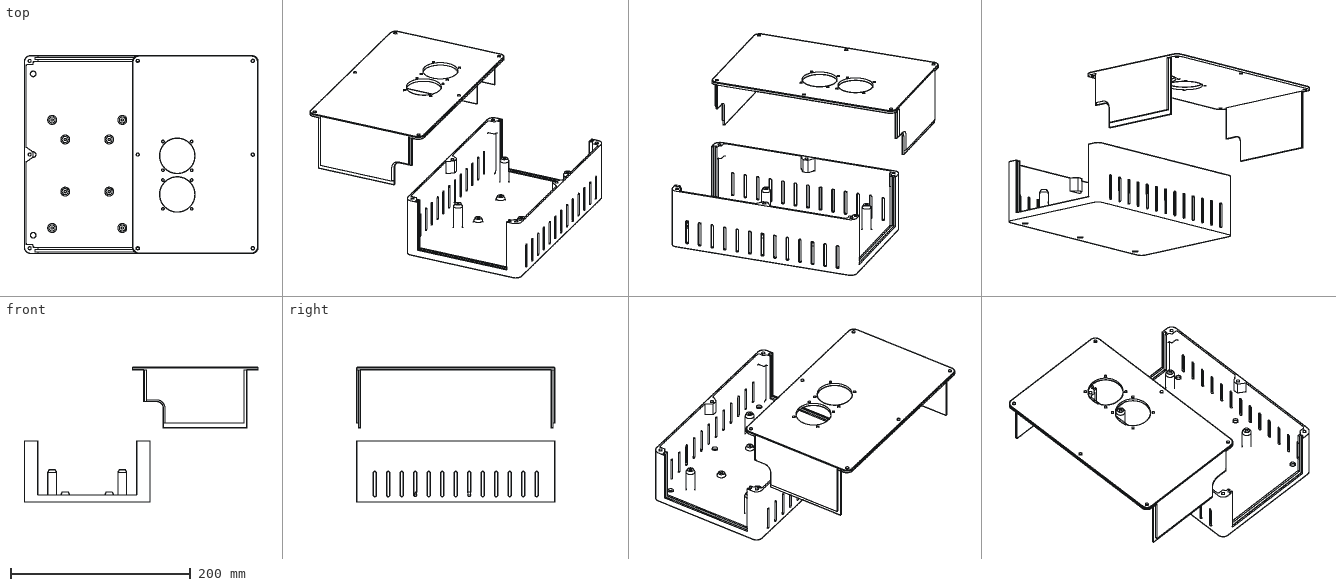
import cadquery as cq
TOTAL_X = 260.0
TOTAL_Z = 150.0
LENGTH_Y = 220.2
WIDTH_X = 140.0
CORNER_RADIUS = 7.3
LID_OFFSET_X = TOTAL_X - WIDTH_X

HOUSING_HEIGHT = 68.0
WALL = 2.0
FLOOR = 3.0
FLOOR_FILLET = 3.0

OPENING_INSET_X = 15.0
OPENING_SILL = 8.0
GROOVE_WIDTH = 2.5
GROOVE_INSET_X = 12.0
FRAME_INSET_X = 10.0
FRAME_DEPTH = WALL + GROOVE_WIDTH + WALL

SLOT_COUNT = 13
SLOT_SPAN = 180.0
SLOT_WIDTH = 3.0
SLOT_BOTTOM = 6.0
SLOT_TOP = 34.0

SCREW_INSET = 6.0
SCREW_DIAMETER = 3.5
SCREW_DEPTH = 12.0
BOSS_HEIGHT = 15.0
BOSS_SIZE = 10.0
BOSS_NOSE_RADIUS = 1.0
BOSS_BLEND = 2.0
MID_BOSS_ROOT_WIDTH = 16.6
MID_BOSS_NOSE_WIDTH = 6.0
MID_BOSS_NOSE_BOW = 0.3

FLOOR_HOLE_DIAMETER = 6.0
FLOOR_HOLE_INSET_X = 10.0
FLOOR_HOLE_SPAN_Y = 179.5

POST_RADIUS = 5.0
POST_FILLET = 5.0
TIP_RADIUS = 3.5
TIP_HEIGHT = 3.0
POST_HOLE_DIAMETER = 2.5
SHORT_POST_TOP = FLOOR + POST_FILLET
SHORT_POST_SPACING_X = 49.0
SHORT_POST_SPACING_Y = 58.0
SHORT_POST_CENTRE_Y = -12.2
TALL_POST_TOP = 33.0
TALL_POST_SPACING_X = 78.0
TALL_POST_SPACING_Y = 120.0
TALL_POST_CENTRE_Y = -21.5

LID_THICKNESS = 3.0
LID_CHAMFER = 0.8
SENSOR_X = 50.0
SENSOR_CENTRE_Y = -23.0
SENSOR_SPACING_Y = 43.0
SENSOR_DIAMETER = 39.0
SENSOR_SCREW_SPACING = 32.0
SENSOR_SCREW_DIAMETER = 2.5

CLEARANCE = 0.5
TONGUE_THICKNESS = 2.0
TONGUE_CHAMFER = 1.0
TONGUE_DEPTH = 64.5
SKIN_DEPTH = 59.3
NOTCH_RADIUS = 7.3
NOTCH_EDGE_X = 34.3
NOTCH_TOP = -38.5


def box(x_min, x_max, y_min, y_max, z_min, z_max):
    """Axis-aligned box between the given limits."""
    return (
        cq.Workplane("XY")
        .box(x_max - x_min, y_max - y_min, z_max - z_min, centered=False)
        .translate((x_min, y_min, z_min))
    )


def rounded_plate(x_size, y_size, height, radius):
    """Upright rounded block centred on the housing axis, standing on Z = 0."""
    return (
        cq.Workplane("XY")
        .center(WIDTH_X / 2, 0)
        .rect(x_size, y_size)
        .extrude(height)
        .edges("|Z")
        .fillet(radius)
    )


def grid(x_spacing, y_spacing, x_centre, y_centre):
    """Corner points of a rectangle."""
    return [
        (x_centre + sx * x_spacing / 2, y_centre + sy * y_spacing / 2)
        for sx in (-1, 1)
        for sy in (-1, 1)
    ]


def wall_points(x, span_y):
    """Three points along a long wall: both ends and the middle."""
    return [(x, y) for y in (-span_y / 2, 0, span_y / 2)]


def mirrored_x(body):
    """The body together with its mirror image in the middle plane of the housing width."""
    return body.union(body.mirror("YZ", (WIDTH_X / 2, 0, 0)))


def mirrored_xy(body):
    """The body repeated at all four corners of the housing."""
    return mirrored_x(body.union(body.mirror("XZ")))


SCREW_SPAN_Y = LENGTH_Y - 2 * SCREW_INSET
SCREW_POINTS = wall_points(SCREW_INSET, SCREW_SPAN_Y) + wall_points(WIDTH_X - SCREW_INSET, SCREW_SPAN_Y)


def shell():
    """Rounded tray of even wall thickness with a filleted floor."""
    outer = rounded_plate(WIDTH_X, LENGTH_Y, HOUSING_HEIGHT, CORNER_RADIUS)
    cavity = (
        rounded_plate(
            WIDTH_X - 2 * WALL, LENGTH_Y - 2 * WALL, HOUSING_HEIGHT, CORNER_RADIUS - WALL
        )
        .faces("<Z")
        .edges()
        .fillet(FLOOR_FILLET)
        .translate((0, 0, FLOOR))
    )
    return outer.cut(cavity)


def end_frames():
    """Full-height bars across the two ends, each with a concave fillet along its foot."""
    bow = FLOOR_FILLET * (1 - 0.5 ** 0.5)
    frame = (
        cq.Workplane("YZ")
        .lineTo(FRAME_DEPTH + FLOOR_FILLET, 0)
        .lineTo(FRAME_DEPTH + FLOOR_FILLET, FLOOR)
        .threePointArc((FRAME_DEPTH + bow, FLOOR + bow), (FRAME_DEPTH, FLOOR + FLOOR_FILLET))
        .lineTo(FRAME_DEPTH, HOUSING_HEIGHT)
        .lineTo(0, HOUSING_HEIGHT)
        .close()
        .extrude(WIDTH_X - 2 * FRAME_INSET_X)
        .translate((FRAME_INSET_X, -LENGTH_Y / 2, 0))
    )
    return frame.union(frame.mirror("XZ"))


def end_openings():
    """Openings through both ends, with the wider groove that takes the lid tongues."""
    half = LENGTH_Y / 2
    opening = box(
        OPENING_INSET_X, WIDTH_X - OPENING_INSET_X, -half, half, OPENING_SILL, HOUSING_HEIGHT
    )
    groove_start = -half + WALL
    groove = box(
        GROOVE_INSET_X, WIDTH_X - GROOVE_INSET_X,
        groove_start, groove_start + GROOVE_WIDTH,
        FLOOR, HOUSING_HEIGHT,
    )
    return opening.union(groove).union(groove.mirror("XZ"))


def vent_slots():
    pitch = SLOT_SPAN / (SLOT_COUNT - 1)
    centres = [((i - (SLOT_COUNT - 1) / 2) * pitch, (SLOT_TOP + SLOT_BOTTOM) / 2) for i in range(SLOT_COUNT)]
    return (
        cq.Workplane("YZ")
        .pushPoints(centres)
        .slot2D(SLOT_TOP - SLOT_BOTTOM, SLOT_WIDTH, 90)
        .extrude(WIDTH_X)
    )


def corner_bosses():
    """Bosses hanging from the rim in the four corners, blended into the wall and the end frame."""
    blend_bow = BOSS_BLEND * (1 - 0.5 ** 0.5)
    nose_bow = BOSS_NOSE_RADIUS * (1 - 0.5 ** 0.5)
    boss = (
        cq.Workplane("XY")
        .workplane(offset=HOUSING_HEIGHT - BOSS_HEIGHT)
        .lineTo(BOSS_SIZE + BOSS_BLEND, 0)
        .lineTo(BOSS_SIZE + BOSS_BLEND, FRAME_DEPTH)
        .threePointArc(
            (BOSS_SIZE + blend_bow, FRAME_DEPTH + blend_bow),
            (BOSS_SIZE, FRAME_DEPTH + BOSS_BLEND),
        )
        .lineTo(BOSS_SIZE, BOSS_SIZE - BOSS_NOSE_RADIUS)
        .threePointArc(
            (BOSS_SIZE - nose_bow, BOSS_SIZE - nose_bow),
            (BOSS_SIZE - BOSS_NOSE_RADIUS, BOSS_SIZE),
        )
        .lineTo(WALL + BOSS_BLEND, BOSS_SIZE)
        .threePointArc(
            (WALL + blend_bow, BOSS_SIZE + blend_bow),
            (WALL, BOSS_SIZE + BOSS_BLEND),
        )
        .lineTo(0, BOSS_SIZE + BOSS_BLEND)
        .close()
        .extrude(BOSS_HEIGHT)
        .translate((0, -LENGTH_Y / 2, 0))
    )
    outer = rounded_plate(WIDTH_X, LENGTH_Y, HOUSING_HEIGHT, CORNER_RADIUS)
    return mirrored_xy(boss.intersect(outer))


def middle_bosses():
    """Tapered bosses with a bowed nose, hanging from the rim in the middle of the long walls."""
    half_root = MID_BOSS_ROOT_WIDTH / 2
    half_nose = MID_BOSS_NOSE_WIDTH / 2
    boss = (
        cq.Workplane("XY")
        .workplane(offset=HOUSING_HEIGHT - BOSS_HEIGHT)
        .moveTo(0, -half_root)
        .lineTo(WALL, -half_root)
        .lineTo(BOSS_SIZE - MID_BOSS_NOSE_BOW, -half_nose)
        .threePointArc((BOSS_SIZE, 0), (BOSS_SIZE - MID_BOSS_NOSE_BOW, half_nose))
        .lineTo(WALL, half_root)
        .lineTo(0, half_root)
        .close()
        .extrude(BOSS_HEIGHT)
    )
    return mirrored_x(boss)


def post(shoulder):
    """Post with a flared foot and a conical tip above its shoulder."""
    foot_radius = POST_RADIUS + POST_FILLET
    flare_top = FLOOR + POST_FILLET
    bow = POST_FILLET * 0.5 ** 0.5
    profile = (
        cq.Workplane("XZ")
        .moveTo(0, 0)
        .lineTo(foot_radius, 0)
        .lineTo(foot_radius, FLOOR)
        .threePointArc((foot_radius - bow, flare_top - bow), (POST_RADIUS, flare_top))
    )
    if shoulder > flare_top:
        profile = profile.lineTo(POST_RADIUS, shoulder)
    return (
        profile.lineTo(TIP_RADIUS, shoulder + TIP_HEIGHT)
        .lineTo(0, shoulder + TIP_HEIGHT)
        .close()
        .revolve(360, (0, 0, 0), (0, 1, 0))
        .cut(cq.Workplane("XY").workplane(offset=FLOOR).circle(POST_HOLE_DIAMETER / 2).extrude(shoulder))
    )


def make_housing():
    housing = shell().union(end_frames()).union(corner_bosses()).union(middle_bosses())
    housing = housing.cut(end_openings()).cut(vent_slots())
    screw_holes = (
        cq.Workplane("XY")
        .workplane(offset=HOUSING_HEIGHT - SCREW_DEPTH)
        .pushPoints(SCREW_POINTS)
        .circle(SCREW_DIAMETER / 2)
        .extrude(SCREW_DEPTH)
    )
    floor_holes = (
        cq.Workplane("XY")
        .pushPoints(wall_points(FLOOR_HOLE_INSET_X, FLOOR_HOLE_SPAN_Y))
        .circle(FLOOR_HOLE_DIAMETER / 2)
        .extrude(FLOOR)
    )
    housing = housing.cut(screw_holes).cut(floor_holes)
    short_points = grid(SHORT_POST_SPACING_X, SHORT_POST_SPACING_Y, WIDTH_X / 2, SHORT_POST_CENTRE_Y)
    tall_points = grid(TALL_POST_SPACING_X, TALL_POST_SPACING_Y, WIDTH_X / 2, TALL_POST_CENTRE_Y)
    for points, shoulder in ((short_points, SHORT_POST_TOP), (tall_points, TALL_POST_TOP)):
        for x, y in points:
            housing = housing.union(post(shoulder).translate((x, y, 0)))
    return housing


def lid_plate():
    plate = (
        rounded_plate(WIDTH_X, LENGTH_Y, LID_THICKNESS, CORNER_RADIUS)
        .faces(">Z")
        .chamfer(LID_CHAMFER)
        .translate((0, 0, -LID_THICKNESS))
    )
    sensor_points = [
        (SENSOR_X, SENSOR_CENTRE_Y + side * SENSOR_SPACING_Y / 2) for side in (-1, 1)
    ]
    sensor_screws = [
        point
        for x, y in sensor_points
        for point in grid(SENSOR_SCREW_SPACING, SENSOR_SCREW_SPACING, x, y)
    ]
    for points, diameter in (
        (SCREW_POINTS, SCREW_DIAMETER),
        (sensor_points, SENSOR_DIAMETER),
        (sensor_screws, SENSOR_SCREW_DIAMETER),
    ):
        holes = cq.Workplane("XY").pushPoints(points).circle(diameter / 2).extrude(-LID_THICKNESS)
        plate = plate.cut(holes)
    return plate


def notch_outline(y):
    """Outline of the notch in an upright plane, with one rounded corner, open past the panel edges."""
    return (
        cq.Workplane("XZ", origin=(0, y, 0))
        .moveTo(0, NOTCH_TOP)
        .lineTo(NOTCH_EDGE_X - NOTCH_RADIUS, NOTCH_TOP)
        .radiusArc((NOTCH_EDGE_X, NOTCH_TOP - NOTCH_RADIUS), NOTCH_RADIUS)
        .lineTo(NOTCH_EDGE_X, -HOUSING_HEIGHT - LID_THICKNESS)
        .lineTo(0, -HOUSING_HEIGHT - LID_THICKNESS)
        .close()
    )


def end_panel():
    """Panel at the -Y end: straight notch in the tongue, flaring outwards at 45 degrees in the skin."""
    skin_outer = -LENGTH_Y / 2
    skin_inner = skin_outer + WALL
    tongue_inner = skin_inner + TONGUE_THICKNESS
    skin_inset = OPENING_INSET_X + CLEARANCE
    tongue_inset = GROOVE_INSET_X + CLEARANCE
    skin = box(
        skin_inset, WIDTH_X - skin_inset, skin_outer, skin_inner,
        -LID_THICKNESS - SKIN_DEPTH, -LID_THICKNESS,
    )
    tongue = (
        box(
            tongue_inset, WIDTH_X - tongue_inset, skin_inner, tongue_inner,
            -LID_THICKNESS - TONGUE_DEPTH, -LID_THICKNESS,
        )
        .cut(notch_outline(tongue_inner).extrude(TONGUE_THICKNESS))
        .edges("|Z and <X and <Y")
        .chamfer(TONGUE_CHAMFER)
    )
    skin = skin.cut(notch_outline(skin_inner).extrude(WALL, taper=-45))
    return skin.union(tongue)


def make_lid():
    panel = end_panel()
    lid = lid_plate().union(panel).union(panel.mirror("XZ"))
    return lid.translate((LID_OFFSET_X, 0, TOTAL_Z))


housing = make_housing()
lid = make_lid()
result = cq.Compound.makeCompound([housing.val(), lid.val()])